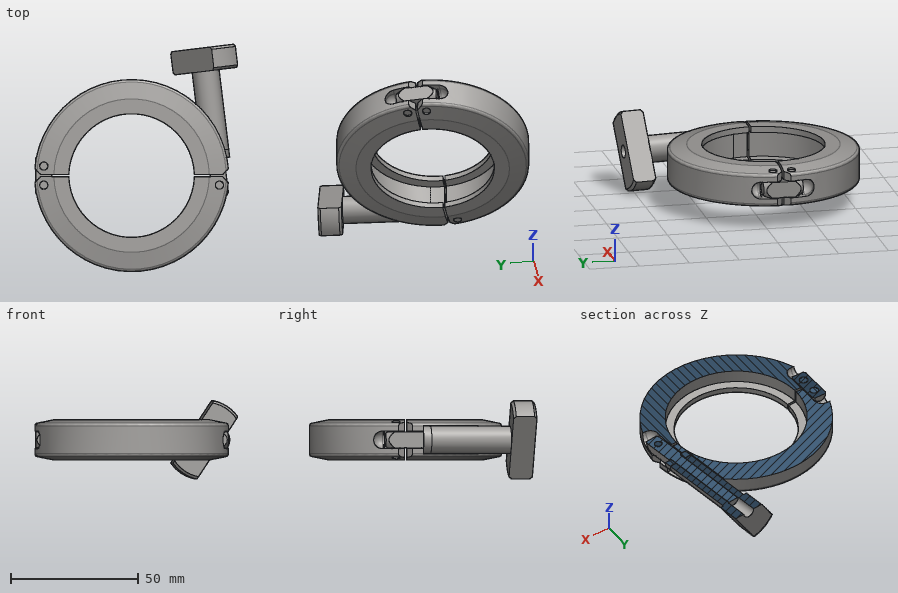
import cadquery as cq
import math

outer_radius = 38.1
inner_radius = 24.6
ring_height = 15.875
flat_radius = 30.5
bevel_angle = 11.5
rim_fillet = 1.2
half_gap = 0.4
centre_shift = 0.4
split_chamfer_start = 35.65

lip_height = 2.4
groove_radius = 28.0
groove_angle = 5.0

pivot_x = 34.45
pivot_y = 3.74
pin_diameter = 3.18
ring_pin_hole = 3.2
link_pin_hole = 3.25
pin_length = 13.5

bar_size = 6.35
link_half_length = 7.9
end_radius = 2.6
end_cone_angle = 30.0

slot_width = 6.86
end_clearance = 0.3
slot_end_y = 12.5

bolt_tilt = 6.9
shank_diameter = 4.98
sleeve_diameter = 10.74
washer_start = 10.4
washer_thickness = 3.15
handle_start = 45.0
handle_thickness = 9.25
handle_diameter = 31.45
handle_width = 11.3
handle_chamfer = 1.0
handle_angle = 56.6
seat_clearance = 0.2

half_height = ring_height / 2
slot_radius = slot_width / 2
far = 2 * outer_radius
channel_end = link_half_length + end_clearance
head_tip = link_half_length - pivot_y
washer_end = washer_start + washer_thickness
handle_end = handle_start + handle_thickness

tilt = math.radians(bolt_tilt)
bolt_direction = cq.Vector(-math.sin(tilt), math.cos(tilt), 0)
bolt_plane = cq.Plane(origin=(pivot_x, -pivot_y, 0), xDir=(0, 0, 1), normal=bolt_direction.toTuple())


def full_ring():
    rim_z = half_height - (outer_radius - flat_radius) * math.tan(math.radians(bevel_angle))
    lip_z = half_height - lip_height
    groove_z = lip_z - (groove_radius - inner_radius) * math.tan(math.radians(groove_angle))
    upper = [
        (groove_radius, groove_z),
        (inner_radius, lip_z),
        (inner_radius, half_height),
        (flat_radius, half_height),
        (outer_radius, rim_z),
    ]
    lower = [(r, -z) for r, z in reversed(upper)]
    ring = cq.Workplane("XZ").polyline(upper + lower).close().revolve(360, (0, 0, 0), (0, 1, 0))
    return ring.edges(cq.selectors.RadiusNthSelector(-1)).fillet(rim_fillet)


def plain_half():
    """Half ring on the +Y side, with chamfered split corners."""
    reach = far - split_chamfer_start
    outline = [
        (-split_chamfer_start, half_gap),
        (split_chamfer_start, half_gap),
        (split_chamfer_start + reach, half_gap + reach),
        (-split_chamfer_start - reach, half_gap + reach),
    ]
    keep = cq.Workplane("XY").polyline(outline).close().extrude(half_height, both=True)
    return full_ring().translate((0, -centre_shift, 0)).intersect(keep)


def slot_cutter(side):
    """Ball-ended slot from the split into the +Y half, open outward on the given X side."""
    ball_y = slot_end_y - slot_radius
    opening = (
        cq.Workplane("YZ")
        .slot2D(2 * slot_end_y, slot_width)
        .extrude(side * outer_radius)
        .translate((side * pivot_x, 0, 0))
    )
    channel = cq.Workplane("XY").box(slot_width, 2 * channel_end, slot_width)
    floor = cq.Workplane("XZ").circle(slot_radius).extrude(ball_y, both=True)
    ball = cq.Workplane("XY").sphere(slot_radius).translate((0, ball_y, 0))
    return opening.union(channel.union(floor).union(ball).translate((side * pivot_x, 0, 0)))


def pin_hole(x, y):
    return cq.Workplane("XY").center(x, y).circle(ring_pin_hole / 2).extrude(half_height, both=True)


def outward_slot(width, start, length):
    """Square-bottomed cut along the bolt axis, half its width deep behind the axis and open outward."""
    plane = cq.Workplane(bolt_plane).workplane(offset=start)
    depth = width / 2 + outer_radius
    return plane.center(0, outer_radius - depth / 2).rect(width, depth).extrude(length)


def bolt_cutter():
    """Shank slot and washer recess in the +Y half, both open outward so that the bolt can swing."""
    passage = outward_slot(slot_width, 0, washer_end)
    recess = outward_slot(sleeve_diameter + 2 * seat_clearance, washer_start, handle_start)
    return passage.union(recess)


def make_bolt_side_half():
    half = plain_half().cut(slot_cutter(-1)).cut(bolt_cutter())
    return half.cut(pin_hole(-pivot_x, pivot_y))


def bolt_head_cutter():
    """Clearance around the tilted bolt head, from beyond its tip to across the split."""
    tip = head_tip + end_clearance
    start = cq.Workplane(bolt_plane).workplane(offset=-tip)
    return start.rect(slot_width, slot_width).extrude(tip + 2 * pivot_y)


def make_hinge_side_half():
    half = plain_half().cut(slot_cutter(-1)).cut(slot_cutter(1))
    for side in (-1, 1):
        half = half.cut(pin_hole(side * pivot_x, pivot_y))
    return half.mirror("XZ").cut(bolt_head_cutter())


def cone_end_blank(length):
    """Turned envelope from z = 0, widening from the end radius to beyond the bar corners."""
    corner_radius = bar_size
    cone_length = (corner_radius - end_radius) / math.tan(math.radians(end_cone_angle))
    profile = [(0, 0), (end_radius, 0), (corner_radius, cone_length), (corner_radius, length), (0, length)]
    return cq.Workplane("XZ").polyline(profile).close().revolve(360, (0, 0, 0), (0, 1, 0))


def cone_ended_bar(length):
    """Square bar along +Z from z = 0, with its lower end turned to a cone."""
    bar = cq.Workplane("XY").rect(bar_size, bar_size).extrude(length)
    return bar.intersect(cone_end_blank(length))


def link_pin_bore():
    return cq.Workplane("XY").circle(link_pin_hole / 2).extrude(bar_size, both=True)


def make_link():
    half = cone_ended_bar(link_half_length).translate((0, 0, -link_half_length))
    link = half.union(half.mirror("XY")).rotate((0, 0, 0), (1, 0, 0), 90)
    for y in (-pivot_y, pivot_y):
        link = link.cut(link_pin_bore().translate((0, y, 0)))
    return link.translate((-pivot_x, 0, 0))


def make_pin(x, y):
    return cq.Workplane("XY").center(x, y).circle(pin_diameter / 2).extrude(pin_length / 2, both=True)


def make_swing_bolt():
    head = cone_ended_bar(head_tip + washer_start).translate((0, 0, -head_tip))
    shank = cq.Workplane("XY").circle(shank_diameter / 2).extrude(handle_start)
    bolt = cq.Workplane(head.union(shank).val().moved(cq.Location(bolt_plane)))
    return bolt.cut(link_pin_bore().translate((pivot_x, -pivot_y, 0)))


def make_washer():
    plane = cq.Workplane(bolt_plane).workplane(offset=washer_start)
    return plane.circle(sleeve_diameter / 2).circle(shank_diameter / 2).extrude(washer_thickness)


def make_knob():
    """Sleeve with a T-handle: a chamfered disc trimmed to a bar, drilled through along the bolt axis."""
    disc = (
        cq.Workplane("XY")
        .workplane(offset=handle_start)
        .circle(handle_diameter / 2)
        .extrude(handle_thickness)
        .edges()
        .chamfer(handle_chamfer)
    )
    trim = cq.Workplane("XY").rect(handle_diameter, handle_width).extrude(handle_end)
    handle = disc.intersect(trim).rotate((0, 0, 0), (0, 0, 1), 90 - handle_angle)
    sleeve_start = cq.Workplane("XY").workplane(offset=washer_end)
    sleeve = sleeve_start.circle(sleeve_diameter / 2).extrude(handle_start - washer_end)
    bore = cq.Workplane("XY").circle(shank_diameter / 2).extrude(handle_end)
    return cq.Workplane(handle.union(sleeve).cut(bore).val().moved(cq.Location(bolt_plane)))


bolt_side_half = make_bolt_side_half()
hinge_side_half = make_hinge_side_half()
link = make_link()
pin_places = [(-pivot_x, pivot_y), (-pivot_x, -pivot_y), (pivot_x, -pivot_y)]
pins = [make_pin(x, y) for x, y in pin_places]
swing_bolt = make_swing_bolt()
washer = make_washer()
knob = make_knob()

result = cq.Compound.makeCompound(
    [
        bolt_side_half.val(),
        hinge_side_half.val(),
        link.val(),
        *[pin.val() for pin in pins],
        swing_bolt.val(),
        washer.val(),
        knob.val(),
    ]
)